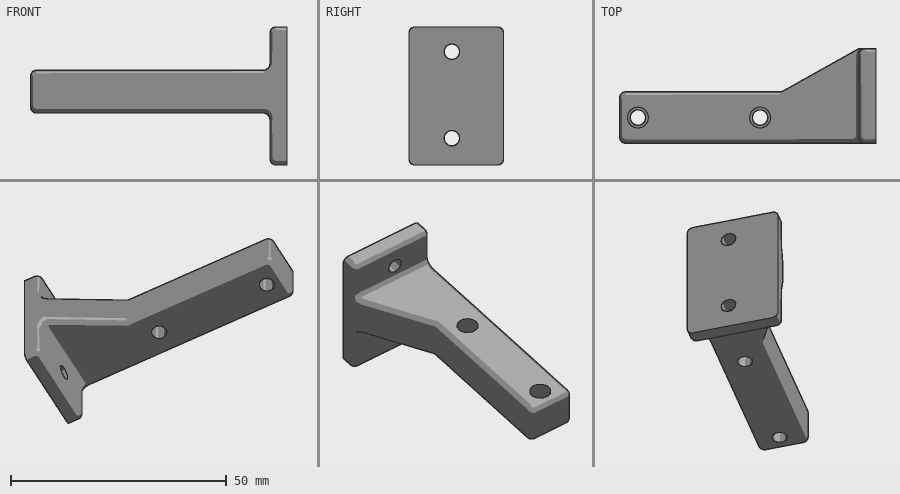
import cadquery as cq

length = 59.4
width = 22.0
plate_height = 32.0
plate_thickness = 4.0

arm_width = 12.0
arm_height = 10.0
arm_center_z = 1.0
flare_start = 37.6

edge_radius = 1.5

hole_diameter = 3.5
counterbore_diameter = 4.8
counterbore_depth = arm_height / 2
arm_hole_x_positions = (4.3, 32.55)
arm_hole_y = arm_width / 2
plate_hole_y = 10.0
plate_hole_spacing = 20.0
plate_holes_center_z = 0.25

plate_face_x = length - plate_thickness
arm_bottom_z = arm_center_z - arm_height / 2
arm_top_z = arm_center_z + arm_height / 2


def make_arm():
    """Bar that flares on its +Y side to the full width of the plate."""
    return (
        cq.Workplane("XY")
        .workplane(offset=arm_bottom_z)
        .moveTo(0, 0)
        .lineTo(length, 0)
        .lineTo(length, width)
        .lineTo(plate_face_x, width)
        .lineTo(flare_start, arm_width)
        .lineTo(0, arm_width)
        .close()
        .extrude(arm_height)
    )


def make_plate():
    return cq.Workplane("XY").box(
        plate_thickness, width, plate_height, centered=(False, False, True)
    ).translate((plate_face_x, 0, 0))


def cut_arm_holes(body):
    """Vertical through holes, counterbored from the top of the arm."""
    centres = [(x, arm_hole_y) for x in arm_hole_x_positions]
    return (
        body.cut(
            cq.Workplane("XY", origin=(0, 0, arm_bottom_z))
            .pushPoints(centres)
            .circle(hole_diameter / 2)
            .extrude(arm_height)
        )
        .cut(
            cq.Workplane("XY", origin=(0, 0, arm_top_z))
            .pushPoints(centres)
            .circle(counterbore_diameter / 2)
            .extrude(-counterbore_depth)
        )
    )


def cut_plate_holes(body):
    """Through holes above and below the arm, along X."""
    half_spacing = plate_hole_spacing / 2
    return body.cut(
        cq.Workplane("YZ", origin=(plate_face_x, 0, plate_holes_center_z))
        .pushPoints([(plate_hole_y, -half_spacing), (plate_hole_y, half_spacing)])
        .circle(hole_diameter / 2)
        .extrude(plate_thickness)
    )


body = make_arm().union(make_plate())
body = body.edges("not(>X)").fillet(edge_radius)
result = cut_plate_holes(cut_arm_holes(body))